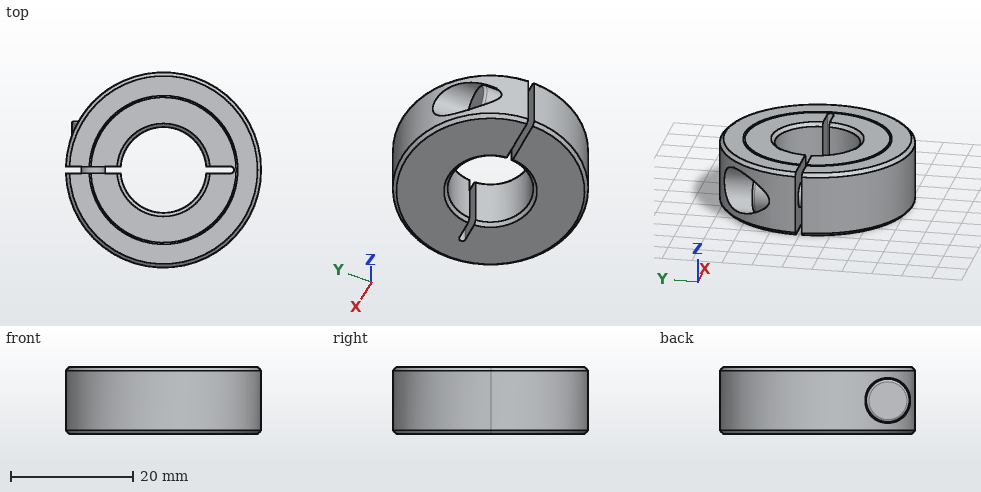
import cadquery as cq

OUTER_RADIUS = 16.0
BORE_RADIUS = 7.0
HEIGHT = 11.0
EDGE_CHAMFER = 0.6

GROOVE_RADIUS = 12.03
GROOVE_SECTION_RADIUS = 0.145

SLOT_WIDTH = 1.1
SLOT_END_X = 11.52

SCREW_X = -11.5
SHANK_DIAMETER = 4.0
SHANK_RADIUS = SHANK_DIAMETER / 2
SHANK_END_Y = -8.0
HEAD_RADIUS = 3.52
HEAD_SEAT_Y = 4.0
HEAD_TOP_Y = 8.0
HEAD_FILLET = 0.4
COUNTERBORE_RADIUS = 3.7


def screw_axis_cylinder(radius, start_y, end_y):
    """Cylinder on the screw axis between two Y positions."""
    return cq.Workplane(
        cq.Solid.makeCylinder(
            radius, end_y - start_y, cq.Vector(SCREW_X, start_y, 0), cq.Vector(0, 1, 0)
        )
    )


def make_ring_blank():
    """Revolved ring with chamfered rims and a half-round groove in its upper face."""
    top = HEIGHT / 2
    profile = (
        cq.Workplane("XZ")
        .moveTo(BORE_RADIUS, -top + EDGE_CHAMFER)
        .lineTo(BORE_RADIUS + EDGE_CHAMFER, -top)
        .lineTo(OUTER_RADIUS - EDGE_CHAMFER, -top)
        .lineTo(OUTER_RADIUS, -top + EDGE_CHAMFER)
        .lineTo(OUTER_RADIUS, top - EDGE_CHAMFER)
        .lineTo(OUTER_RADIUS - EDGE_CHAMFER, top)
        .lineTo(GROOVE_RADIUS + GROOVE_SECTION_RADIUS, top)
        .threePointArc(
            (GROOVE_RADIUS, top - GROOVE_SECTION_RADIUS),
            (GROOVE_RADIUS - GROOVE_SECTION_RADIUS, top),
        )
        .lineTo(BORE_RADIUS + EDGE_CHAMFER, top)
        .lineTo(BORE_RADIUS, top - EDGE_CHAMFER)
        .close()
    )
    return profile.revolve(360, (0, 0, 0), (0, 1, 0))


def make_slot():
    """Cutter for the clamping slot, with a round end on the +X side."""
    half_width = SLOT_WIDTH / 2
    straight_end_x = SLOT_END_X - half_width
    return (
        cq.Workplane("XY")
        .moveTo(-OUTER_RADIUS, -half_width)
        .lineTo(straight_end_x, -half_width)
        .threePointArc((SLOT_END_X, 0), (straight_end_x, half_width))
        .lineTo(-OUTER_RADIUS, half_width)
        .close()
        .extrude(HEIGHT / 2, both=True)
    )


def make_collar():
    """Slotted ring with a counterbored blind hole for the screw."""
    shank_hole = screw_axis_cylinder(SHANK_RADIUS, SHANK_END_Y, HEAD_SEAT_Y)
    counterbore = screw_axis_cylinder(COUNTERBORE_RADIUS, HEAD_SEAT_Y, OUTER_RADIUS)
    return make_ring_blank().cut(make_slot()).cut(shank_hole).cut(counterbore)


def make_screw():
    """Cap screw whose head rests on the counterbore floor."""
    head = screw_axis_cylinder(HEAD_RADIUS, HEAD_SEAT_Y, HEAD_TOP_Y)
    head = head.faces(">Y").edges().fillet(HEAD_FILLET)
    shank = screw_axis_cylinder(SHANK_RADIUS, SHANK_END_Y, HEAD_SEAT_Y)
    return head.union(shank)


collar = make_collar()
screw = make_screw()

result = cq.Compound.makeCompound([collar.val(), screw.val()])